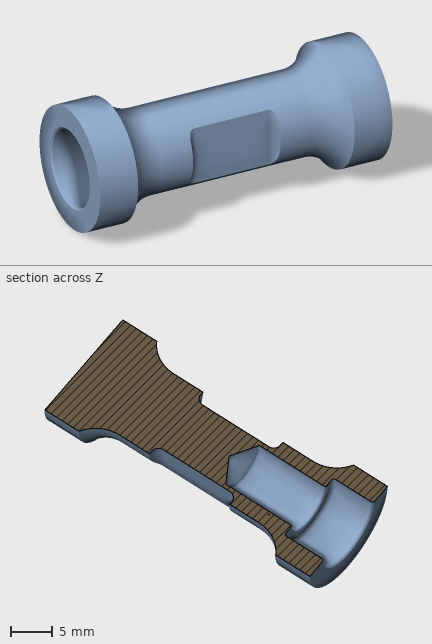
import cadquery as cq
import math

LENGTH = 40.0
HEAD_RADIUS = 8.0
SHANK_LENGTH = 21.0
SHANK_RADIUS = 5.5
FLARE_RADIUS = 5.0

ACROSS_FLATS = 8.0
FLAT_LENGTH = 12.0
FLAT_FILLET = 1.0

BORE_RADIUS = 5.0
BORE_DEPTH = 6.0
BORE_EDGE_CHAMFER = 0.2
BORE_FLOOR_CHAMFER = 0.2
DRILL_RADIUS = 3.4
DRILL_DEPTH = 16.0
DRILL_EDGE_CHAMFER = 0.15
DRILL_TIP_ANGLE = 118.0

HALF_LENGTH = LENGTH / 2


def make_body():
    """Revolve a shank with a concave flare up to a head at each end."""
    shank_y = SHANK_LENGTH / 2
    arc_centre_x = SHANK_RADIUS + FLARE_RADIUS
    flare_length = math.sqrt(FLARE_RADIUS**2 - (arc_centre_x - HEAD_RADIUS) ** 2)
    head_y = shank_y + flare_length
    half_sweep = math.asin(flare_length / FLARE_RADIUS) / 2
    mid_x = arc_centre_x - FLARE_RADIUS * math.cos(half_sweep)
    mid_y = shank_y + FLARE_RADIUS * math.sin(half_sweep)
    return (
        cq.Workplane("XY")
        .moveTo(0, -HALF_LENGTH)
        .lineTo(HEAD_RADIUS, -HALF_LENGTH)
        .lineTo(HEAD_RADIUS, -head_y)
        .threePointArc((mid_x, -mid_y), (SHANK_RADIUS, -shank_y))
        .lineTo(SHANK_RADIUS, shank_y)
        .threePointArc((mid_x, mid_y), (HEAD_RADIUS, head_y))
        .lineTo(HEAD_RADIUS, HALF_LENGTH)
        .lineTo(0, HALF_LENGTH)
        .close()
        .revolve(360, (0, 0, 0), (0, 1, 0))
    )


def make_flat_cutter(side):
    """Block that cuts one flat, rounded where the flat meets its end walls."""
    cutter_depth = HEAD_RADIUS - ACROSS_FLATS / 2
    cutter_x = side * (ACROSS_FLATS / 2 + cutter_depth / 2)
    flat_face = "<X" if side > 0 else ">X"
    return (
        cq.Workplane("XY")
        .box(cutter_depth, FLAT_LENGTH, 2 * HEAD_RADIUS)
        .faces(flat_face)
        .edges("|Z")
        .fillet(FLAT_FILLET)
        .translate((cutter_x, 0, 0))
    )


def make_bore_cutter():
    """Revolve the stepped bore with its chamfers and conical drill tip."""
    entry_y = -HALF_LENGTH
    floor_y = entry_y + BORE_DEPTH
    drill_y = entry_y + DRILL_DEPTH
    tip_length = DRILL_RADIUS / math.tan(math.radians(DRILL_TIP_ANGLE / 2))
    return (
        cq.Workplane("XY")
        .moveTo(0, entry_y)
        .lineTo(BORE_RADIUS + BORE_EDGE_CHAMFER, entry_y)
        .lineTo(BORE_RADIUS, entry_y + BORE_EDGE_CHAMFER)
        .lineTo(BORE_RADIUS, floor_y - BORE_FLOOR_CHAMFER)
        .lineTo(BORE_RADIUS - BORE_FLOOR_CHAMFER, floor_y)
        .lineTo(DRILL_RADIUS + DRILL_EDGE_CHAMFER, floor_y)
        .lineTo(DRILL_RADIUS, floor_y + DRILL_EDGE_CHAMFER)
        .lineTo(DRILL_RADIUS, drill_y)
        .lineTo(0, drill_y + tip_length)
        .close()
        .revolve(360, (0, 0, 0), (0, 1, 0))
    )


result = make_body()
for flat_side in (-1, 1):
    result = result.cut(make_flat_cutter(flat_side))
result = result.cut(make_bore_cutter())